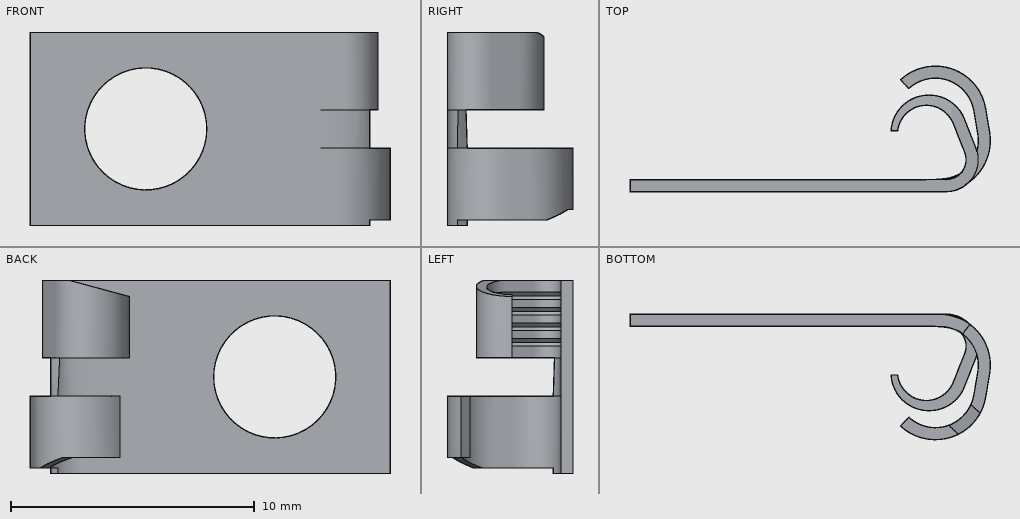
import cadquery as cq
import math

thickness = 0.5
plate_height = 7.92
hole_diameter = 5.0
hole_x = 4.75

lip_top = 0.22
lower_top = 3.18
upper_bottom = 4.75

overall_length = 14.78
lower_radius = 2.1
lower_bend_x = overall_length - lower_radius
lower_lean = 9.6
lower_straight = 0.98
lower_tip_angle = 133.0
lower_relief_height = 0.65
lower_relief_start = -0.52
lower_relief_run = 1.24

upper_radius = 1.32
upper_bend_x = 12.96
upper_lean = 21.6
upper_straight = 1.27
upper_outer_radius = 1.57
upper_inner_radius = 1.18
upper_tip_y = 2.5
upper_slope_x = 13.18
upper_slope_angle = 15.0

groove_count = 4
groove_depth = 0.15
groove_clearance = 0.33

stub_end_x = 13.94
web_start_x = 11.93


def polar(center, radius, angle):
    """Point at an angle in degrees, counterclockwise from +X, on a circle."""
    a = math.radians(angle)
    return (center[0] + radius * math.cos(a), center[1] + radius * math.sin(a))


def arc_center(bend_center, bend_radius, arc_radius, lean, straight):
    """Centre of the curl arc that continues the bend through a tangent straight run."""
    tangent = polar(polar(bend_center, bend_radius, lean), straight, lean + 90)
    return polar(tangent, -arc_radius, lean)


def extrude_band(profile, bottom, top):
    """Close an XY outline and extrude it between two heights."""
    return profile.close().extrude(top - bottom).translate((0, 0, bottom))


def curl(bend_x, radius, lean, straight, outer_arc, inner_arc, bottom, top):
    """Plate, bend, straight run and curl; each arc is (centre, radius, tip angle)."""
    bend = (bend_x, radius)
    inner_radius = radius - thickness
    outer_center, outer_radius, outer_tip = outer_arc
    inner_center, inner_arc_radius, inner_tip = inner_arc
    mid_bend = (lean - 90) / 2
    profile = (
        cq.Workplane("XY")
        .lineTo(bend_x, 0)
        .threePointArc(polar(bend, radius, mid_bend), polar(bend, radius, lean))
        .lineTo(*polar(outer_center, outer_radius, lean))
        .threePointArc(
            polar(outer_center, outer_radius, (lean + outer_tip) / 2),
            polar(outer_center, outer_radius, outer_tip),
        )
        .lineTo(*polar(inner_center, inner_arc_radius, inner_tip))
        .threePointArc(
            polar(inner_center, inner_arc_radius, (lean + inner_tip) / 2),
            polar(inner_center, inner_arc_radius, lean),
        )
        .lineTo(*polar(bend, inner_radius, lean))
        .threePointArc(polar(bend, inner_radius, mid_bend), (bend_x, thickness))
        .lineTo(0, thickness)
    )
    return extrude_band(profile, bottom, top)


def stub_end_angle(bend_x, radius):
    """Direction, seen from the bend centre, of the radial cut through the stub edge."""
    return math.degrees(math.asin((stub_end_x - bend_x) / radius)) - 90


def web_section(workplane, bend_x, radius):
    """Sheet section that leaves the plate smoothly and ends tangent to a bend at its radial cut."""
    bend = (bend_x, radius)
    inner_radius = radius - thickness
    end = stub_end_angle(bend_x, radius)
    half_turn = math.tan(math.radians(end + 90) / 2)
    outer_corner_x = bend_x + radius * half_turn
    inner_corner_x = bend_x + inner_radius * half_turn
    return (
        workplane
        .moveTo(web_start_x, 0)
        .bezier([(bend_x, 0), (outer_corner_x, 0), polar(bend, radius, end)], includeCurrent=True)
        .lineTo(*polar(bend, inner_radius, end))
        .bezier([(inner_corner_x, thickness), (bend_x, thickness), (web_start_x, thickness)],
                includeCurrent=True)
        .close()
    )


def lower_curl():
    """Larger curl, with its lower edge relieved near the tip."""
    bend = (lower_bend_x, lower_radius)
    center = arc_center(bend, lower_radius, lower_radius, lower_lean, lower_straight)
    outer_arc = (center, lower_radius, lower_tip_angle)
    inner_arc = (center, lower_radius - thickness, lower_tip_angle)
    body = curl(lower_bend_x, lower_radius, lower_lean, lower_straight,
                outer_arc, inner_arc, lip_top, lower_top)
    plane = cq.Plane(
        origin=(center[0], center[1], lip_top),
        xDir=polar((0, 0), 1, lower_tip_angle) + (0,),
        normal=polar((0, 0), 1, lower_tip_angle - 90) + (0,),
    )
    rise = lower_relief_height - lip_top
    relief_end = 2 * lower_radius
    relief = (
        cq.Workplane(plane)
        .moveTo(lower_relief_start, 0)
        .lineTo(lower_relief_start + lower_relief_run, rise)
        .lineTo(relief_end, rise)
        .lineTo(relief_end, 0)
        .close()
        .extrude(lower_radius, both=True)
    )
    return body.cut(relief)


def upper_curl():
    """Smaller curl, with a sloping top edge and V-grooves inside."""
    bend = (upper_bend_x, upper_radius)
    inner_bend_radius = upper_radius - thickness
    outer_center = arc_center(bend, upper_radius, upper_outer_radius, upper_lean, upper_straight)
    inner_center = arc_center(bend, inner_bend_radius, upper_inner_radius, upper_lean, upper_straight)

    def tip_angle(center, radius):
        return 180 - math.degrees(math.asin((upper_tip_y - center[1]) / radius))

    outer_tip = tip_angle(outer_center, upper_outer_radius)
    outer_arc = (outer_center, upper_outer_radius, outer_tip)
    inner_arc = (inner_center, upper_inner_radius, tip_angle(inner_center, upper_inner_radius))
    body = curl(upper_bend_x, upper_radius, upper_lean, upper_straight,
                outer_arc, inner_arc, upper_bottom, plate_height)

    drop = upper_slope_x * math.tan(math.radians(upper_slope_angle))
    slope = (
        cq.Workplane("XZ", origin=(0, upper_radius, 0))
        .moveTo(upper_slope_x, plate_height)
        .lineTo(0, plate_height)
        .lineTo(0, plate_height - drop)
        .close()
        .extrude(-overall_length)
    )
    body = body.cut(slope)

    root_bend = inner_bend_radius + groove_depth
    root_arc = upper_outer_radius - thickness + groove_depth
    half_width = groove_depth + groove_clearance
    pitch = (plate_height - upper_bottom) / (groove_count + 1)
    for i in range(groove_count):
        z = upper_bottom + (i + 1) * pitch
        path = (
            cq.Workplane("XY", origin=(0, 0, z))
            .moveTo(upper_bend_x, upper_radius - root_bend)
            .threePointArc(polar(bend, root_bend, (upper_lean - 90) / 2),
                           polar(bend, root_bend, upper_lean))
            .lineTo(*polar(outer_center, root_arc, upper_lean))
            .threePointArc(polar(outer_center, root_arc, (upper_lean + outer_tip) / 2),
                           polar(outer_center, root_arc, outer_tip))
        )
        groove = (
            cq.Workplane("YZ", origin=(upper_bend_x, upper_radius - root_bend, z))
            .polyline([(0, 0), (half_width, half_width), (half_width, -half_width)])
            .close()
            .sweep(path)
        )
        body = body.cut(groove)
    return body


def lip():
    """Short bend left below the lower curl."""
    bend = (lower_bend_x, lower_radius)
    inner_radius = lower_radius - thickness
    end = stub_end_angle(lower_bend_x, lower_radius)
    middle = (end - 90) / 2
    profile = (
        cq.Workplane("XY")
        .lineTo(lower_bend_x, 0)
        .threePointArc(polar(bend, lower_radius, middle), polar(bend, lower_radius, end))
        .lineTo(*polar(bend, inner_radius, end))
        .threePointArc(polar(bend, inner_radius, middle), (lower_bend_x, thickness))
        .lineTo(0, thickness)
    )
    return extrude_band(profile, 0, lip_top)


def web():
    """Plate between the curls, its end blending from the lower bend to the tighter upper one."""
    height = upper_bottom - lower_top
    plate = cq.Workplane("XY").box(web_start_x, thickness, height, centered=False)
    section = web_section(cq.Workplane("XY"), lower_bend_x, lower_radius)
    section = section.workplane(offset=height)
    transition = web_section(section, upper_bend_x, upper_radius).loft(ruled=True)
    return plate.union(transition).translate((0, 0, lower_top))


def mounting_hole():
    """Round hole through the plate."""
    return (
        cq.Workplane("XZ")
        .center(hole_x, plate_height / 2)
        .circle(hole_diameter / 2)
        .extrude(-thickness)
    )


result = lip().union(lower_curl()).union(web()).union(upper_curl()).cut(mounting_hole()).clean()